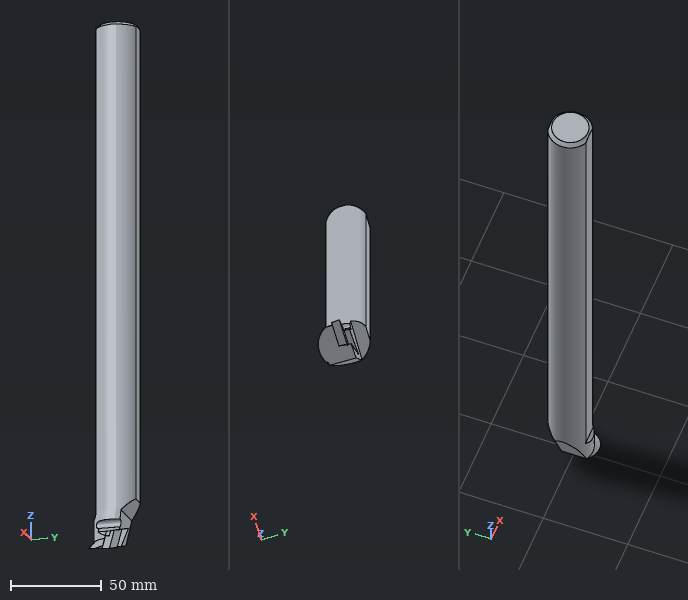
import cadquery as cq
import math

top_z = 306.0
shank_radius = 12.5
front_flat_y = -11.3
back_flat_y = 11.5
side_flat_x = 12.2
shank_bottom_z = 24.8
front_flat_end_z = 23.0
top_chamfer = 2.0

neck_shift = 0.85
neck_top_z = 21.0
flare_top_z = 8.3
flare_angle = 41.0

nose_radius = 0.45
nose_x = 18.88
insert_length = 17.0
insert_angle = 35.0
lower_edge_angle = 18.0
insert_thickness = 4.5
insert_face_y = 0.5
relief_angle = 5.0

slant_top_z = 27.0
heel_x = -5.8
bend_x = 3.5
bend_z = 5.5
tip_trim_x = 17.0
tip_trim_z = 1.2
seat_inset = 0.3
relief_diameter = 4.3
relief_x = 10.7
relief_z = 16.8

chip_start_z = 31.8
chip_bend_y = 5.0
chip_bend_z = 24.2
chip_end_y = 2.0

margin = 30.5


def polar(start, length, angle):
    """Point at a distance and angle from start in the XZ plane."""
    turn = math.radians(angle)
    return (start[0] + length * math.cos(turn), start[1] + length * math.sin(turn))


lower_direction = 180 - lower_edge_angle
upper_direction = lower_direction - insert_angle
nose_center = (nose_x, nose_radius)
nose_direction = lower_direction - insert_angle / 2 + 180
sharp_tip = polar(nose_center, nose_radius / math.sin(math.radians(insert_angle / 2)), nose_direction)
lower_corner = polar(sharp_tip, insert_length, lower_direction)
upper_corner = polar(sharp_tip, insert_length, upper_direction)
far_corner = polar(lower_corner, insert_length, upper_direction)


def insert_profile():
    """Rhombus with a rounded nose, on the plane of the insert's +Y face."""
    return (
        cq.Workplane("XZ", origin=(0, insert_face_y, 0))
        .moveTo(*polar(nose_center, nose_radius, lower_direction + 90))
        .threePointArc(
            polar(nose_center, nose_radius, nose_direction),
            polar(nose_center, nose_radius, upper_direction - 90),
        )
        .lineTo(*upper_corner)
        .lineTo(*far_corner)
        .lineTo(*lower_corner)
        .close()
    )


def make_insert():
    """Insert whose sides lean inwards from its +Y face to its seat."""
    return insert_profile().extrude(insert_thickness, taper=relief_angle)


def make_shank():
    """Round bar, chamfered at the top."""
    bar = cq.Workplane("XY", origin=(0, 0, shank_bottom_z)).circle(shank_radius)
    return bar.extrude(top_z - shank_bottom_z).faces(">Z").chamfer(top_chamfer)


def neck_circle(z):
    """Circle of the shifted neck at a height."""
    return cq.Workplane("XY", origin=(0, -neck_shift, z)).circle(shank_radius)


def make_head_blank():
    """Transition, round neck and flare, stacked downwards."""
    transition = (
        cq.Workplane("XY", origin=(0, 0, shank_bottom_z))
        .circle(shank_radius)
        .workplane(offset=neck_top_z - shank_bottom_z)
        .center(0, -neck_shift)
        .circle(shank_radius)
        .loft()
    )
    neck = neck_circle(flare_top_z).extrude(neck_top_z - flare_top_z)
    flare = neck_circle(flare_top_z).extrude(-flare_top_z, taper=-flare_angle)
    return transition.union(neck).union(flare)


def make_flat_cuts():
    """Material outside the -Y flat, with its run-out ramp, and outside the +Y flat."""
    front_profile = [
        (front_flat_y, top_z),
        (front_flat_y, front_flat_end_z),
        (-shank_radius - neck_shift, neck_top_z),
        (-margin, neck_top_z),
        (-margin, top_z),
    ]
    front = cq.Workplane("YZ").polyline(front_profile).close().extrude(margin, both=True)
    back = cq.Workplane("XY").rect(2 * margin, margin).extrude(top_z)
    return front.union(back.translate((0, back_flat_y + margin / 2, 0)))


def make_side_prism():
    """Prism along Y bounding the heel, lower edge, tip, corner relief and +X flat."""
    upper_slope = math.tan(math.radians(180 - upper_direction))
    trimmed_upper_z = sharp_tip[1] + (sharp_tip[0] - tip_trim_x) * upper_slope - seat_inset
    relief_radius = relief_diameter / 2
    relief_top_z = relief_z + relief_radius
    outline = [
        (-shank_radius, slant_top_z),
        (heel_x, flare_top_z),
        (bend_x, bend_z),
        (tip_trim_x, tip_trim_z),
        (tip_trim_x, trimmed_upper_z),
        (upper_corner[0], upper_corner[1] - seat_inset),
        (relief_x, relief_z),
        (relief_x, relief_top_z),
        (side_flat_x, relief_top_z),
        (side_flat_x, top_z),
        (-shank_radius, top_z),
    ]
    prism = cq.Workplane("XZ").polyline(outline).close().extrude(margin, both=True)
    relief = cq.Workplane("XZ").center(relief_x, relief_z).circle(relief_radius)
    return prism.cut(relief.extrude(margin, both=True))


def make_chip_cut():
    """Material removed on the +Y side to bare the cutting end."""
    start_slope = (chip_start_z - chip_bend_z) / (back_flat_y - chip_bend_y)
    profile = [
        (margin, chip_bend_z + (margin - chip_bend_y) * start_slope),
        (chip_bend_y, chip_bend_z),
        (chip_end_y, 0),
        (margin, 0),
    ]
    return cq.Workplane("YZ").polyline(profile).close().extrude(margin, both=True)


def make_holder(insert):
    """Shank and head in one piece, with an open pocket that fits the insert."""
    holder = make_shank().union(make_head_blank()).intersect(make_side_prism())
    holder = holder.cut(make_flat_cuts()).cut(make_chip_cut())
    pocket_opening = insert_profile().extrude(-margin)
    return holder.cut(insert).cut(pocket_opening)


insert = make_insert()
holder = make_holder(insert)

result = cq.Compound.makeCompound([holder.val(), insert.val()])